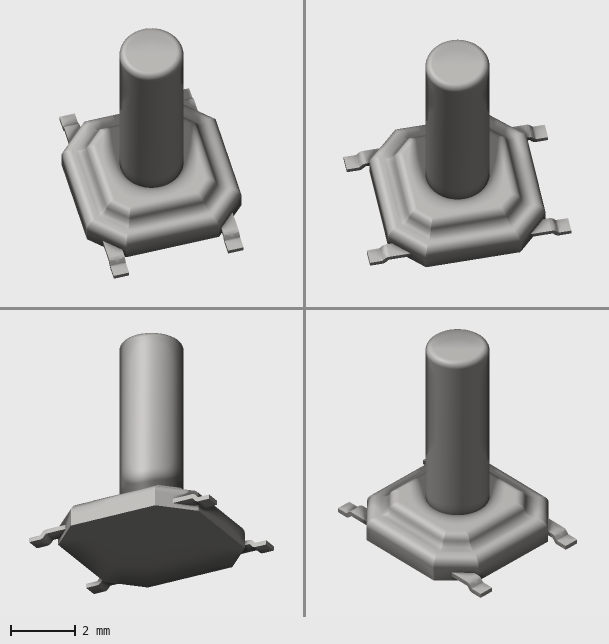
import cadquery as cq
import math

body_width = 5.0
corner_cut = body_width / 5
side_height = 0.5
edge_radius = 0.3
shoulder_height = side_height + edge_radius
body_height = 1.2
top_inset = 1.0
step_radius = 0.3

button_radius = 1.0
button_top = 7.0
button_rounding = 0.2

lead_span = 6.4
lead_thickness = 0.15
lead_width = 0.5
lead_center_y = 1.85
lead_rise = 0.155
foot_length = 0.365
bend_inner_radius = 0.07
lead_inner_x = 1.9


def s_curve(radius_sum, rise):
    """Turning angle and length of two tangent arcs joining two levels."""
    angle = math.acos(1 - rise / radius_sum)
    return angle, radius_sum * math.sin(angle)


def housing_slab(half_width):
    """Long bar along Y carrying the stepped, rounded profile on both sides."""
    top_x = half_width - top_inset
    step_rise = body_height - shoulder_height
    angle, step_run = s_curve(2 * step_radius, step_rise)
    half_run = step_radius * math.sin(angle / 2)
    half_drop = step_radius * (1 - math.cos(angle / 2))
    step_middle = (top_x + step_run / 2, shoulder_height + step_rise / 2)
    step_foot_x = top_x + step_run
    round_off = edge_radius * math.sqrt(0.5)
    edge_center_x = half_width - edge_radius
    profile = (
        cq.Workplane("XZ")
        .moveTo(0, 0)
        .lineTo(half_width, 0)
        .lineTo(half_width, side_height)
        .threePointArc((edge_center_x + round_off, side_height + round_off), (edge_center_x, shoulder_height))
        .lineTo(step_foot_x, shoulder_height)
        .threePointArc((step_foot_x - half_run, shoulder_height + half_drop), step_middle)
        .threePointArc((top_x + half_run, body_height - half_drop), (top_x, body_height))
        .lineTo(0, body_height)
        .close()
    )
    half_bar = profile.extrude(body_width, both=True)
    return half_bar.union(half_bar.mirror("YZ"))


def make_housing():
    """Crossing slabs at 45 degree steps leave mitred corners on the octagon."""
    flat_slab = housing_slab(body_width / 2)
    corner_slab = housing_slab((body_width - corner_cut) / math.sqrt(2))
    housing = flat_slab.intersect(flat_slab.rotate((0, 0, 0), (0, 0, 1), 90))
    for turn in (45, 135):
        housing = housing.intersect(corner_slab.rotate((0, 0, 0), (0, 0, 1), turn))
    return housing


def make_button():
    button = cq.Workplane("XY").workplane(offset=shoulder_height).circle(button_radius)
    return button.extrude(button_top - shoulder_height).faces(">Z").edges().fillet(button_rounding)


def make_lead():
    """Lead on the +X side: foot at the bottom, smooth S-bend, then a run into the housing."""
    outer_radius = bend_inner_radius + lead_thickness
    angle, bend_run = s_curve(bend_inner_radius + outer_radius, lead_rise)
    tip_x = lead_span / 2
    foot_x = tip_x - foot_length
    rise_x = foot_x - bend_run
    foot_center_z = lead_thickness + bend_inner_radius

    def bend_middle(radius):
        return (foot_x - radius * math.sin(angle), foot_center_z - radius * math.cos(angle))

    upper_bend = [bend_middle(bend_inner_radius), (rise_x, lead_rise + lead_thickness)]
    lower_bend = [bend_middle(outer_radius), (foot_x, 0)]
    inward = (-1, 0)
    outward = (1, 0)
    profile = (
        cq.Workplane("XZ", origin=(0, lead_center_y + lead_width / 2, 0))
        .moveTo(tip_x, 0)
        .lineTo(tip_x, lead_thickness)
        .lineTo(foot_x, lead_thickness)
        .spline(upper_bend, tangents=[inward, inward], includeCurrent=True)
        .lineTo(lead_inner_x, lead_rise + lead_thickness)
        .lineTo(lead_inner_x, lead_rise)
        .lineTo(rise_x, lead_rise)
        .spline(lower_bend, tangents=[outward, outward], includeCurrent=True)
        .close()
    )
    return profile.extrude(lead_width)


result = make_housing().union(make_button())
back_right_lead = make_lead()
right_leads = back_right_lead.union(back_right_lead.mirror("XZ"))
result = result.union(right_leads).union(right_leads.mirror("YZ"))